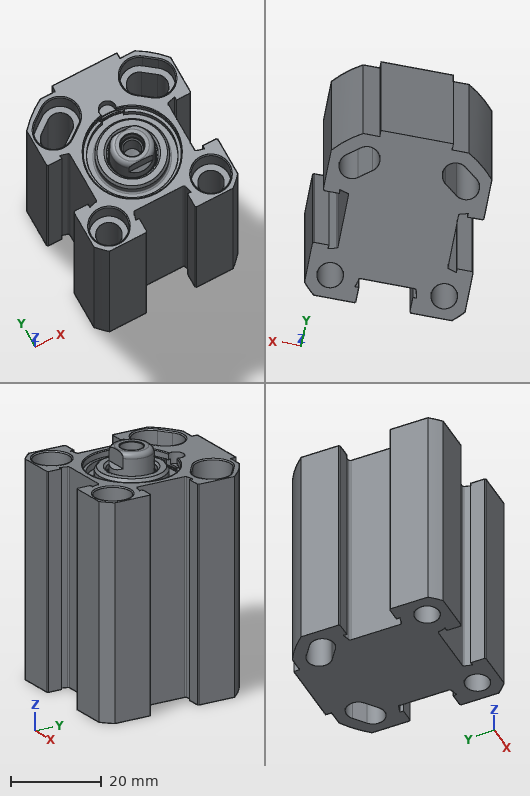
import cadquery as cq
import math

housing_width = 36.0
housing_length = 40.0
half_width = housing_width / 2
housing_height = 52.0
shoulder_y = 20.55
pad_y = housing_length - half_width
pad_width = 16.2
corner_round_radius = 23.75

groove_floor = 12.3
lip_inner = 14.35
mouth_half = 6.05
undercut_half = 6.9
floor_half = 6.3
groove_floor_fillet = 0.4
groove_angles = (0, 180, 270)
lip_chamfer = 0.3

mount_offset = 12.75
slot_far_x = 9.95
slot_far_y = 14.9
mount_diameter = 5.8
counterbore_diameter = 8.8
counterbore_depth = 5.65
counterbore_chamfer = 0.3

seat_diameter = 21.6
seat_depth = 12.0
seat_floor = housing_height - seat_depth
seat_chamfer = 0.2
notch_radius = 2.0
notch_depth = 2.7

ring_outer_diameter = 22.8
ring_inner_diameter = 20.1
ring_thickness = 1.6
ring_top = housing_height - 1.6
ring_bottom = ring_top - ring_thickness
ring_gap_turn = 2.6
ring_gap_inner_half_angle = 15.0
ring_gap_outer_half_angle = 18.5

flange_chamfer = 0.2
hub_diameter = 16.5
hub_top = housing_height - 0.35
hub_chamfer = 0.5
hub_chamfer_height = 0.75
hub_base_fillet = 0.4
cover_bore_diameter = 10.45
cover_mouth_diameter = 11.4
cover_mouth_depth = 1.6
cover_step_chamfer = 0.15
cover_mouth_chamfer = 0.5

rod_diameter = 10.0
rod_top = 56.5
rod_fillet = 1.25
flat_half = 4.0
flat_height = 3.7
flat_runout_drop = 0.75
tap_diameter = 4.1
tap_depth = 7.9
tap_mouth_diameter = 5.25
tap_mouth_depth = 2.1
tap_lead_in = 0.35
tap_mouth_chamfer = 0.15
drill_point_angle = 118.0


def cylinder(diameter, bottom, top):
    return cq.Workplane("XY").workplane(offset=bottom).circle(diameter / 2).extrude(top - bottom)


def revolved(profile):
    """Turn an XZ profile once around the Z axis."""
    return profile.revolve(360, (0, 0, 0), (0, 1, 0))


def housing_blank():
    """Extruded outline: flat sides, corners on one circle about the bore axis, port pad at the back."""
    front_corner = math.sqrt(corner_round_radius**2 - half_width**2)
    back_corner = math.sqrt(corner_round_radius**2 - shoulder_y**2)
    round_middle = math.sqrt(0.5) * corner_round_radius
    back_round_angle = (math.atan2(shoulder_y, back_corner) + math.atan2(front_corner, half_width)) / 2
    back_middle_x = corner_round_radius * math.cos(back_round_angle)
    back_middle_y = corner_round_radius * math.sin(back_round_angle)
    return (
        cq.Workplane("XY")
        .moveTo(-front_corner, -half_width)
        .lineTo(front_corner, -half_width)
        .threePointArc((round_middle, -round_middle), (half_width, -front_corner))
        .lineTo(half_width, front_corner)
        .threePointArc((back_middle_x, back_middle_y), (back_corner, shoulder_y))
        .lineTo(pad_width / 2, shoulder_y)
        .lineTo(pad_width / 2, pad_y)
        .lineTo(-pad_width / 2, pad_y)
        .lineTo(-pad_width / 2, shoulder_y)
        .lineTo(-back_corner, shoulder_y)
        .threePointArc((-back_middle_x, back_middle_y), (-half_width, front_corner))
        .lineTo(-half_width, -front_corner)
        .threePointArc((-round_middle, -round_middle), (-front_corner, -half_width))
        .close()
        .extrude(housing_height)
    )


def rail_groove(angle):
    """T-shaped groove along the full height, modelled on the +X face and turned to its own face."""
    half_profile = [
        (half_width, mouth_half + lip_chamfer),
        (half_width - lip_chamfer, mouth_half),
        (lip_inner, mouth_half),
        (lip_inner, undercut_half),
        (groove_floor, floor_half),
    ]
    mirrored = [(x, -y) for x, y in reversed(half_profile)]
    groove = cq.Workplane("XY").polyline(half_profile + mirrored).close().extrude(housing_height)
    groove = groove.faces("<X").edges("|Z").fillet(groove_floor_fillet)
    return groove.rotate((0, 0, 0), (0, 0, 1), angle)


def oblong(start, end, diameter, depth, taper=0):
    """Slot of the given width cut down from the top face; a plain hole when both ends coincide."""
    length = math.dist(start, end)
    angle = math.degrees(math.atan2(end[1] - start[1], end[0] - start[0]))
    top = (
        cq.Workplane("XY")
        .workplane(offset=housing_height)
        .center((start[0] + end[0]) / 2, (start[1] + end[1]) / 2)
    )
    outline = top.slot2D(length + diameter, diameter, angle) if length > 0 else top.circle(diameter / 2)
    return outline.extrude(-depth, taper=taper)


def mounting_hole(start, end):
    """Through hole with a counterbore and a 45 degree mouth."""
    mouth_diameter = counterbore_diameter + 2 * counterbore_chamfer
    hole = oblong(start, end, mount_diameter, housing_height)
    counterbore = oblong(start, end, counterbore_diameter, counterbore_depth)
    mouth = oblong(start, end, mouth_diameter, counterbore_chamfer, taper=45)
    return hole.union(counterbore).union(mouth)


def seat_mouth(top):
    """45 degree cone that breaks the edge of the seat at the given height."""
    rim = cq.Workplane("XY").workplane(offset=top).circle(seat_diameter / 2 + seat_chamfer)
    return rim.extrude(-seat_chamfer, taper=45)


def make_housing():
    body = housing_blank()
    for angle in groove_angles:
        body = body.cut(rail_groove(angle))
    for side in (-1, 1):
        front = (side * mount_offset, -mount_offset)
        back = (side * mount_offset, mount_offset)
        back_far = (side * slot_far_x, slot_far_y)
        body = body.cut(mounting_hole(front, front))
        body = body.cut(mounting_hole(back, back_far))
    seat = cylinder(seat_diameter, seat_floor, housing_height)
    ring_groove = cylinder(ring_outer_diameter, ring_bottom, ring_top)
    notch = (
        cq.Workplane("XY")
        .workplane(offset=housing_height - notch_depth)
        .center(0, ring_outer_diameter / 2)
        .circle(notch_radius)
        .extrude(notch_depth)
    )
    for cutter in (seat, seat_mouth(housing_height), seat_mouth(ring_bottom), ring_groove, notch):
        body = body.cut(cutter)
    return body


def make_retaining_ring():
    """Snap ring whose gap widens outwards."""
    ring = cylinder(ring_outer_diameter, ring_bottom, ring_top)
    ring = ring.cut(cylinder(ring_inner_diameter, ring_bottom, ring_top))
    inner_radius = ring_inner_diameter / 2
    outer_radius = ring_outer_diameter / 2
    corners = [
        (radius * math.sin(math.radians(angle)), radius * math.cos(math.radians(angle)))
        for radius, angle in (
            (inner_radius, ring_gap_inner_half_angle),
            (outer_radius, ring_gap_outer_half_angle),
        )
    ]
    right_side = corners + [(corners[1][0], ring_outer_diameter)]
    left_side = [(-x, y) for x, y in reversed(right_side)]
    gap = (
        cq.Workplane("XY")
        .workplane(offset=ring_bottom)
        .polyline([(0, 0)] + right_side + left_side)
        .close()
        .extrude(ring_thickness)
        .rotate((0, 0, 0), (0, 0, 1), -ring_gap_turn)
    )
    return ring.cut(gap)


def make_rod_cover():
    """Flange held under the snap ring, with a raised hub and a stepped clearance bore for the rod."""
    r_seat = seat_diameter / 2
    r_hub = hub_diameter / 2
    r_bore = cover_bore_diameter / 2
    r_mouth = cover_mouth_diameter / 2
    fillet_dip = hub_base_fillet * (1 - math.sqrt(0.5))
    profile = (
        cq.Workplane("XZ")
        .moveTo(r_bore, seat_floor)
        .lineTo(r_seat, seat_floor)
        .lineTo(r_seat, ring_bottom - flange_chamfer)
        .lineTo(r_seat - flange_chamfer, ring_bottom)
        .lineTo(r_hub + hub_base_fillet, ring_bottom)
        .threePointArc(
            (r_hub + fillet_dip, ring_bottom + fillet_dip),
            (r_hub, ring_bottom + hub_base_fillet),
        )
        .lineTo(r_hub, hub_top - hub_chamfer_height)
        .lineTo(r_hub - hub_chamfer, hub_top)
        .lineTo(r_mouth + cover_mouth_chamfer, hub_top)
        .lineTo(r_mouth, hub_top - cover_mouth_chamfer)
        .lineTo(r_mouth, hub_top - cover_mouth_depth)
        .lineTo(r_bore + cover_step_chamfer, hub_top - cover_mouth_depth)
        .lineTo(r_bore, hub_top - cover_mouth_depth - cover_step_chamfer)
        .close()
    )
    return revolved(profile)


def make_rod():
    """Rod standing on the seat floor, with two wrench flats and a tapping hole in its end."""
    rod = cylinder(rod_diameter, seat_floor, rod_top).faces(">Z").edges().fillet(rod_fillet)
    flat_bottom = rod_top - flat_height
    flat_depth = rod_diameter / 2 - flat_half
    flat_outer = flat_half + 2 * flat_depth
    runout_bottom = flat_bottom - 2 * flat_runout_drop
    for side in (-1, 1):
        flat = (
            cq.Workplane("YZ")
            .polyline(
                [
                    (side * flat_half, rod_top),
                    (side * flat_half, flat_bottom),
                    (side * flat_outer, runout_bottom),
                    (side * flat_outer, rod_top),
                ]
            )
            .close()
            .extrude(rod_diameter / 2, both=True)
        )
        rod = rod.cut(flat)
    r_tap = tap_diameter / 2
    r_mouth = tap_mouth_diameter / 2
    point = r_tap / math.tan(math.radians(drill_point_angle / 2))
    tap_profile = (
        cq.Workplane("XZ")
        .polyline(
            [
                (0, rod_top),
                (r_mouth + tap_mouth_chamfer, rod_top),
                (r_mouth, rod_top - tap_mouth_chamfer),
                (r_mouth, rod_top - tap_mouth_depth),
                (r_tap + tap_lead_in, rod_top - tap_mouth_depth),
                (r_tap, rod_top - tap_mouth_depth - tap_lead_in),
                (r_tap, rod_top - tap_depth),
                (0, rod_top - tap_depth - point),
            ]
        )
        .close()
    )
    return rod.cut(revolved(tap_profile))


housing = make_housing()
ring = make_retaining_ring()
cover = make_rod_cover()
rod = make_rod()
result = cq.Compound.makeCompound([housing.val(), ring.val(), cover.val(), rod.val()])